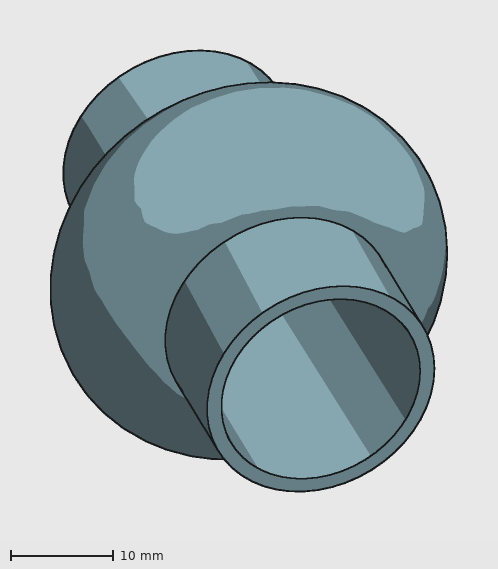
import cadquery as cq

length = 45.0
tube_diameter = 23.5
bore_diameter = 20.5
bulge_diameter = 40.0
bulge_width = 19.0

section_radius = bulge_width / 2
ring_radius = bulge_diameter / 2 - section_radius


def cylinder_along_x(diameter):
    return cq.Workplane("YZ").circle(diameter / 2).extrude(length / 2, both=True)


def bulge():
    """Torus about the X axis, centred on the tube's length."""
    return (
        cq.Workplane("XY")
        .center(0, ring_radius)
        .circle(section_radius)
        .revolve(360, (0, -ring_radius), (1, -ring_radius))
    )


result = cylinder_along_x(tube_diameter).union(bulge()).cut(cylinder_along_x(bore_diameter))